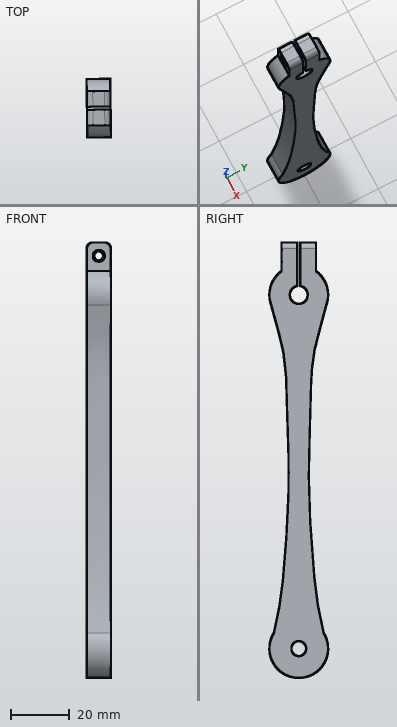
import cadquery as cq
import math

thickness = 8.1
twist_angle = 0.7
overall_height = 147.8
eye_diameter = 20.0
eye_radius = eye_diameter / 2
lower_bore_diameter = 5.0
upper_bore_diameter = 6.0
bore_spacing = 120.0

clamp_width = 11.7
clamp_slot_width = 1.0
clamp_corner_radius = 2.0
clamp_top = overall_height - eye_radius
screw_drop = 4.6
clearance_diameter = 4.0
tapped_diameter = 3.1

lower_blend_rise = 5.3
upper_blend_drop = 3.4
shank_side = [(6.5, 14.6), (4.6, 32.5), (3.4, 59.7), (4.0, 81.9), (5.3, 101.1), (7.8, 110.8)]


def plate(sketch):
    """Extrude a YZ outline through the thickness, centred on X."""
    return sketch.extrude(thickness).translate((-thickness / 2, 0, 0))


def disc(diameter, height):
    return plate(cq.Workplane("YZ").center(0, height).circle(diameter / 2))


def eye_half_width(offset):
    return math.sqrt(eye_radius**2 - offset**2)


def make_shank():
    lower_blend = (eye_half_width(lower_blend_rise), lower_blend_rise)
    upper_blend = (eye_half_width(upper_blend_drop), bore_spacing - upper_blend_drop)
    side = [lower_blend] + shank_side + [upper_blend]
    opposite_side = [(-y, z) for y, z in reversed(side)]
    return plate(
        cq.Workplane("YZ")
        .moveTo(*side[0])
        .spline(side[1:], includeCurrent=True)
        .lineTo(*opposite_side[0])
        .spline(opposite_side[1:], includeCurrent=True)
        .close()
    )


def make_clamp():
    height = clamp_top - bore_spacing
    block = cq.Workplane("XY").box(thickness, clamp_width, height, centered=(True, True, False))
    return block.edges("|Y and >Z").fillet(clamp_corner_radius).translate((0, 0, bore_spacing))


def make_clamp_slot():
    height = clamp_top - bore_spacing
    slot = cq.Workplane("XY").box(thickness, clamp_slot_width, height, centered=(True, True, False))
    return slot.translate((0, 0, bore_spacing))


def screw_hole(diameter, direction):
    """Hole from the clamp slot out through one jaw along +Y (1) or -Y (-1)."""
    start = cq.Vector(0, 0, clamp_top - screw_drop)
    return cq.Workplane(cq.Solid.makeCylinder(diameter / 2, clamp_width, start, cq.Vector(0, direction, 0)))


body = make_shank()
body = body.union(disc(eye_diameter, 0)).union(disc(eye_diameter, bore_spacing))
body = body.union(make_clamp())

body = body.cut(disc(lower_bore_diameter, 0)).cut(disc(upper_bore_diameter, bore_spacing))
body = body.cut(make_clamp_slot())
body = body.cut(screw_hole(clearance_diameter, -1)).cut(screw_hole(tapped_diameter, 1))

result = body.rotate((0, 0, 0), (0, 0, 1), twist_angle)